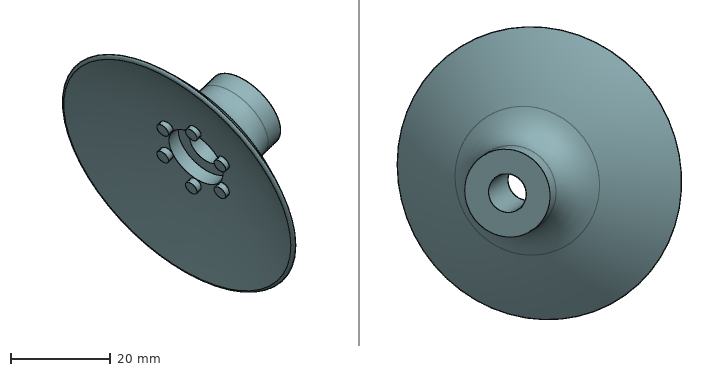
import cadquery as cq
import math

height = 22.0
rim_radius = 30.0
rim_round = 0.7
lip_radius = rim_radius - rim_round
neck_radius = 9.0
neck_length = 4.0
flare_end_radius = 15.25
flare_end_y = 8.75

bore_radius = 3.95
recess_radius = 6.95
recess_floor_y = 9.0
dome_edge_y = 6.0
dome_middle_radius = 18.0
dome_middle_y = 4.0

peg_count = 6
peg_radius = 1.5
peg_circle_radius = 8.5
peg_front_y = 4.5
peg_back_y = 6.9
first_peg_angle = 30.0


def make_cup():
    """Revolve the wall section, including the bore and recess, about Y."""
    return (
        cq.Workplane("XY")
        .moveTo(bore_radius, height)
        .lineTo(neck_radius, height)
        .lineTo(neck_radius, height - neck_length)
        .tangentArcPoint((flare_end_radius, flare_end_y), relative=False)
        .tangentArcPoint((rim_radius, rim_round), relative=False)
        .radiusArc((lip_radius, 0), rim_round)
        .threePointArc((dome_middle_radius, dome_middle_y), (recess_radius, dome_edge_y))
        .lineTo(recess_radius, recess_floor_y)
        .lineTo(bore_radius, recess_floor_y)
        .close()
        .revolve(360, (0, 0, 0), (0, 1, 0))
    )


def make_pegs():
    """Ring of support pegs, kept clear of the central recess."""
    angles = [math.radians(first_peg_angle + i * 360 / peg_count) for i in range(peg_count)]
    centers = [(peg_circle_radius * math.cos(a), peg_circle_radius * math.sin(a)) for a in angles]
    return (
        cq.Workplane("XZ", origin=(0, peg_front_y, 0))
        .pushPoints(centers)
        .circle(peg_radius)
        .extrude(peg_front_y - peg_back_y)
    )


result = make_cup().union(make_pegs())